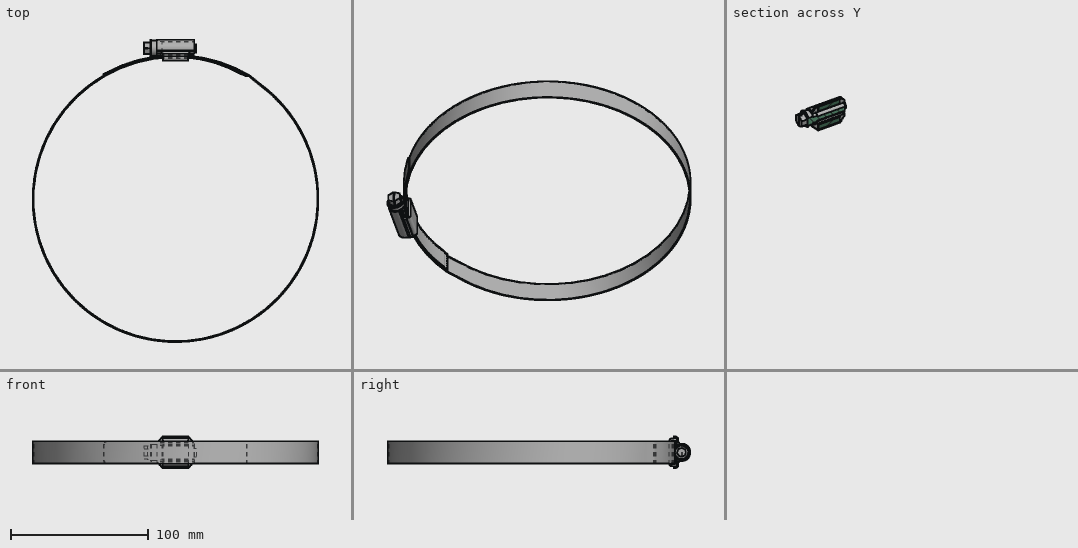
import cadquery as cq
import math


ring_radius = 103.66
clamp_top = 115.73
ear_reach = 11.52

band_thickness = 0.77
band_half_width = 8.1
layer_gap = 0.09
inner_end_angle = 60
dip_start_angle = 85
dip_end_angle = 62.4
crimp_end_angle = 61.5
dip_depth = 0.7
tip_dip = 0.2
joggle_start_angle = 54.5
joggle_end_angle = 59
outer_end_angle = 120
outer_end_corner_radius = 2.6
layer_rise = band_thickness + layer_gap
ring_inner_radius = ring_radius - band_thickness

barrel_radius = 6.4
barrel_wall = 1.0
barrel_half_length = 13.5
barrel_axis_y = clamp_top - barrel_radius
bore_radius = barrel_radius - barrel_wall
barrel_side_drop = 1.3
foot_top_y = 107.0
foot_bottom_y = 105.7
foot_flare_z = 7.5
skirt_bottom_y = 103.5
ear_chamfer_end_y = 105.3
ear_half_length = 9.2
ear_taper_start_z = 6.8

saddle_half_length = 9.2
saddle_half_width = 10.0
saddle_bottom_y = 100.3
saddle_floor_y = 102.2
saddle_inner_z = 8.3
lip_inner_z = 6.0
lip_bottom_y = 104.6
saddle_corner_radius = 2.2

head_start_x = -23.0
flange_start_x = -18.5
flange_end_x = -17.8
flange_chamfer = 0.55
neck_end_x = -10.0
thread_end_x = 13.2
tip_end_x = 15.0
head_sides = 6
head_across_flats = 8.5
flange_radius = barrel_radius
collar_radius = 5.7
neck_radius = bore_radius
thread_radius = 4.8
tip_radius = 3.0
slot_width = 0.7
slot_depth = 2.5


def polar(radius, angle):
    """Point at a radius and an angle in degrees about the ring axis."""
    turn = math.radians(angle)
    return (radius * math.cos(turn), radius * math.sin(turn))


def make_band():
    """One strip bent into a ring, stepping outward to pass over its own inner end."""
    last_ring_angle = joggle_start_angle + 360
    middle_ring_angle = (dip_start_angle + last_ring_angle) / 2
    middle_dip_angle = (dip_start_angle + dip_end_angle) / 2
    middle_overlap_angle = (joggle_end_angle + outer_end_angle) / 2
    middle_dip = dip_depth / 4
    inner_overlap = ring_inner_radius + layer_rise
    outer_overlap = ring_radius + layer_rise
    band = (
        cq.Workplane("XY")
        .workplane(offset=-band_half_width)
        .moveTo(*polar(ring_inner_radius - tip_dip, inner_end_angle))
        .lineTo(*polar(ring_inner_radius - tip_dip, crimp_end_angle))
        .lineTo(*polar(ring_inner_radius - dip_depth, dip_end_angle))
        .threePointArc(
            polar(ring_inner_radius - middle_dip, middle_dip_angle),
            polar(ring_inner_radius, dip_start_angle),
        )
        .threePointArc(
            polar(ring_inner_radius, middle_ring_angle),
            polar(ring_inner_radius, last_ring_angle),
        )
        .lineTo(*polar(inner_overlap, joggle_end_angle))
        .threePointArc(polar(inner_overlap, middle_overlap_angle), polar(inner_overlap, outer_end_angle))
        .lineTo(*polar(outer_overlap, outer_end_angle))
        .threePointArc(polar(outer_overlap, middle_overlap_angle), polar(outer_overlap, joggle_end_angle))
        .lineTo(*polar(ring_radius, last_ring_angle))
        .threePointArc(polar(ring_radius, middle_ring_angle), polar(ring_radius, dip_start_angle))
        .threePointArc(
            polar(ring_radius - middle_dip, middle_dip_angle),
            polar(ring_radius - dip_depth, dip_end_angle),
        )
        .lineTo(*polar(ring_radius - tip_dip, crimp_end_angle))
        .lineTo(*polar(ring_radius - tip_dip, inner_end_angle))
        .close()
        .extrude(2 * band_half_width)
    )
    end_x, end_y = polar((inner_overlap + outer_overlap) / 2, outer_end_angle)
    for edge_z in (-band_half_width, band_half_width):
        corner_edge = cq.selectors.BoxSelector(
            (end_x - band_thickness, end_y - band_thickness, edge_z - band_thickness),
            (end_x + band_thickness, end_y + band_thickness, edge_z + band_thickness),
        )
        band = band.edges(corner_edge).fillet(outer_end_corner_radius)
    return band


def make_housing():
    """Barrel over the screw, with a foot and a downturned ear on each side."""
    barrel_side_y = barrel_axis_y - barrel_side_drop
    diagonal = math.sqrt(0.5)
    upper_half = (
        cq.Workplane("YZ")
        .workplane(offset=-barrel_half_length)
        .moveTo(clamp_top, 0)
        .threePointArc(
            (barrel_axis_y + barrel_radius * diagonal, barrel_radius * diagonal),
            (barrel_axis_y, barrel_radius),
        )
        .lineTo(barrel_side_y, barrel_radius)
        .lineTo(foot_top_y, foot_flare_z)
        .lineTo(foot_top_y, saddle_half_width)
        .lineTo(ear_chamfer_end_y, ear_reach)
        .lineTo(skirt_bottom_y, ear_reach)
        .lineTo(skirt_bottom_y, saddle_half_width)
        .lineTo(foot_bottom_y, saddle_half_width)
        .lineTo(foot_bottom_y, bore_radius)
        .lineTo(barrel_axis_y, bore_radius)
        .threePointArc(
            (barrel_axis_y + bore_radius * diagonal, bore_radius * diagonal),
            (barrel_axis_y + bore_radius, 0),
        )
        .close()
        .extrude(2 * barrel_half_length)
    )
    housing = upper_half.union(upper_half.mirror("XY"))
    planform = (
        cq.Workplane("XZ")
        .polyline(
            [
                (-barrel_half_length, -ear_taper_start_z),
                (-ear_half_length, -ear_reach),
                (ear_half_length, -ear_reach),
                (barrel_half_length, -ear_taper_start_z),
                (barrel_half_length, ear_taper_start_z),
                (ear_half_length, ear_reach),
                (-ear_half_length, ear_reach),
                (-barrel_half_length, ear_taper_start_z),
            ]
        )
        .close()
        .extrude(-clamp_top)
    )
    return housing.intersect(planform)


def make_saddle():
    """C-shaped channel that carries the band and folds in over its edges."""
    channel = (
        cq.Workplane("YZ")
        .workplane(offset=-saddle_half_length)
        .moveTo(saddle_bottom_y, -saddle_half_width)
        .lineTo(foot_bottom_y, -saddle_half_width)
        .lineTo(foot_bottom_y, -lip_inner_z)
        .lineTo(lip_bottom_y, -lip_inner_z)
        .lineTo(lip_bottom_y, -saddle_inner_z)
        .lineTo(saddle_floor_y, -saddle_inner_z)
        .lineTo(saddle_floor_y, saddle_inner_z)
        .lineTo(lip_bottom_y, saddle_inner_z)
        .lineTo(lip_bottom_y, lip_inner_z)
        .lineTo(foot_bottom_y, lip_inner_z)
        .lineTo(foot_bottom_y, saddle_half_width)
        .lineTo(saddle_bottom_y, saddle_half_width)
        .close()
        .extrude(2 * saddle_half_length)
    )
    return channel.edges("|X and <Y").fillet(saddle_corner_radius)


def cylinder_along_x(start_x, end_x, radius):
    """Cylinder on the screw axis between two X positions."""
    return (
        cq.Workplane("YZ", origin=(start_x, barrel_axis_y, 0))
        .circle(radius)
        .extrude(end_x - start_x)
    )


def make_screw():
    """Slotted hexagon head, flange, collar, neck, threaded length as a plain cylinder, and tip."""
    head_corner_diameter = head_across_flats / math.cos(math.pi / head_sides)
    head = (
        cq.Workplane("YZ", origin=(head_start_x, barrel_axis_y, 0))
        .transformed(rotate=(0, 0, 90))
        .polygon(head_sides, head_corner_diameter)
        .extrude(flange_start_x - head_start_x)
    )
    slot = cq.Workplane("XY").box(2 * slot_depth, slot_width, 2 * flange_radius)
    flange = cylinder_along_x(flange_start_x, flange_end_x, flange_radius)
    flange = flange.faces("<X").chamfer(flange_chamfer)
    return (
        head.cut(slot.translate((head_start_x, barrel_axis_y, 0)))
        .union(flange)
        .union(cylinder_along_x(flange_end_x, -barrel_half_length, collar_radius))
        .union(cylinder_along_x(-barrel_half_length, neck_end_x, neck_radius))
        .union(cylinder_along_x(neck_end_x, thread_end_x, thread_radius))
        .union(cylinder_along_x(thread_end_x, tip_end_x, tip_radius))
    )


band = make_band()
housing = make_housing()
saddle = make_saddle()
screw = make_screw()

result = cq.Compound.makeCompound([band.val(), housing.val(), saddle.val(), screw.val()])